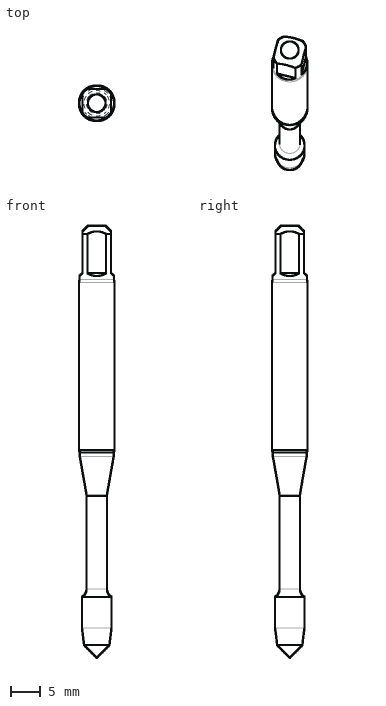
import cadquery as cq
import math

total_length = 72.1

head_diameter = 5.0
tip_base_diameter = 4.25
tip_height = tip_base_diameter / 2
lead_top = 5.0
head_top = 10.2
neck_start = 11.45
neck_diameter = 3.45

cone_bottom = 27.25
body_joint = 27.05
cone_top = 33.6
relief_diameter = 5.7
shank_bottom = 34.25
shank_diameter = 6.0
shank_top = 63.1
shank_chamfer_height = 0.4

drive_diameter = 5.8
drive_across_flats = 4.8
drive_end_diameter = 2.95
drive_chamfer = (drive_diameter - drive_end_diameter) / 2
flat_bottom = 64.2
flat_runout = (drive_diameter - drive_across_flats) / 2


def make_head():
    """Pointed head with a tapered lead, flared by a concave round into the neck."""
    neck_radius = neck_diameter / 2
    head_radius = head_diameter / 2
    flare_width = head_radius - neck_radius
    flare_height = neck_start - head_top
    flare_radius = (flare_width**2 + flare_height**2) / (2 * flare_width)
    half_angle = math.asin(flare_height / flare_radius) / 2
    flare_middle = (
        neck_radius + flare_radius * (1 - math.cos(half_angle)),
        neck_start - flare_radius * math.sin(half_angle),
    )
    return (
        cq.Workplane("XZ")
        .moveTo(0, 0)
        .lineTo(tip_base_diameter / 2, tip_height)
        .lineTo(head_radius, lead_top)
        .lineTo(head_radius, head_top)
        .threePointArc(flare_middle, (neck_radius, neck_start))
        .lineTo(neck_radius, body_joint)
        .lineTo(0, body_joint)
        .close()
        .revolve(360, (0, 0, 0), (0, 1, 0))
    )


def make_shank_blank():
    """Turned shank from the stub of neck below the cone to the chamfered drive end."""
    profile = [
        (0, body_joint),
        (neck_diameter / 2, body_joint),
        (neck_diameter / 2, cone_bottom),
        (relief_diameter / 2, cone_top),
        (relief_diameter / 2, shank_bottom),
        (shank_diameter / 2, shank_bottom + shank_chamfer_height),
        (shank_diameter / 2, shank_top - shank_chamfer_height),
        (drive_diameter / 2, shank_top),
        (drive_diameter / 2, total_length - drive_chamfer),
        (drive_end_diameter / 2, total_length),
        (0, total_length),
    ]
    return cq.Workplane("XZ").polyline(profile).close().revolve(360, (0, 0, 0), (0, 1, 0))


def make_flat_cutter():
    """Material beyond one drive flat, with the sloped runout at its lower end."""
    inner = drive_across_flats / 2
    outer = drive_diameter / 2
    profile = [
        (inner, total_length),
        (inner, flat_bottom),
        (outer, flat_bottom - flat_runout),
        (outer, total_length),
    ]
    return cq.Workplane("XZ").polyline(profile).close().extrude(drive_diameter / 2, both=True)


def make_shank():
    """Shank with four flats forming the square drive."""
    shank = make_shank_blank()
    flat_cutter = make_flat_cutter()
    for angle in (0, 90, 180, 270):
        shank = shank.cut(flat_cutter.rotate((0, 0, 0), (0, 0, 1), angle))
    return shank


head = make_head()
shank = make_shank()

result = cq.Compound.makeCompound([head.val(), shank.val()])